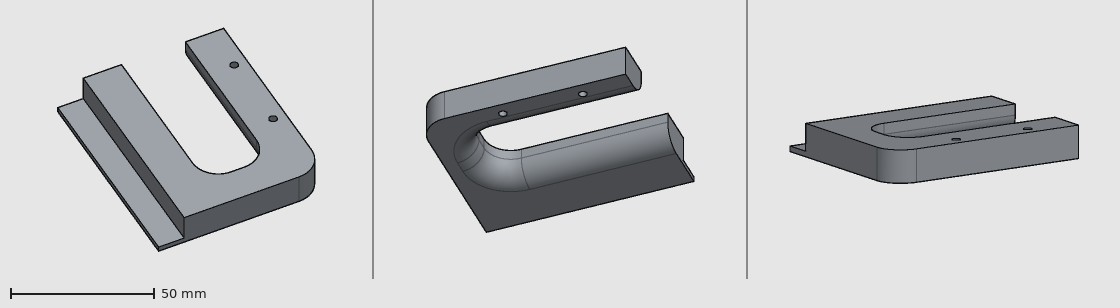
import cadquery as cq

length = 78.0
depth = 65.0
height = 12.0

flange_width = 10.0
flange_thickness = 2.0

arm_width = 15.0
web_width = 13.0
corner_radius = 10.0
slot_bottom_radius = 8.0

hole_diameter = 3.0
hole_back_offset = 5.0
first_hole_x = 18.0
hole_spacing = 30.0
hole_count = 2

body_depth = depth - flange_width
slot_length = length - web_width
slot_front = flange_width + arm_width
slot_width = body_depth - 2 * arm_width


def make_block():
    """Full-height block with its back right corner rounded."""
    block = cq.Workplane("XY").box(length, body_depth, height, centered=False)
    block = block.edges("|Z and >X and >Y").fillet(corner_radius)
    return block.translate((0, flange_width, 0))


def make_slot():
    """Slot cutter with rounded corners at its closed end."""
    slot = cq.Workplane("XY").box(slot_length, slot_width, height, centered=False)
    slot = slot.edges("|Z and >X").fillet(corner_radius)
    return slot.translate((0, slot_front, 0))


def round_slot_bottom(body):
    """Round over the lower rim of the slot, from one open end to the other."""
    margin = 0.8
    inside_slot = cq.selectors.BoxSelector(
        (0, slot_front - margin, -margin),
        (slot_length + margin, slot_front + slot_width + margin, margin),
    )
    return body.edges(inside_slot).fillet(slot_bottom_radius)


def make_flange():
    """Thin flange that runs along the front face, flush with the bottom."""
    return cq.Workplane("XY").box(length, flange_width, flange_thickness, centered=False)


def make_holes():
    """Cutters for the through holes in the back arm."""
    hole_y = depth - hole_back_offset
    centers = [(first_hole_x + i * hole_spacing, hole_y) for i in range(hole_count)]
    return cq.Workplane("XY").pushPoints(centers).circle(hole_diameter / 2).extrude(height)


body = round_slot_bottom(make_block().cut(make_slot()))
result = body.union(make_flange()).cut(make_holes())